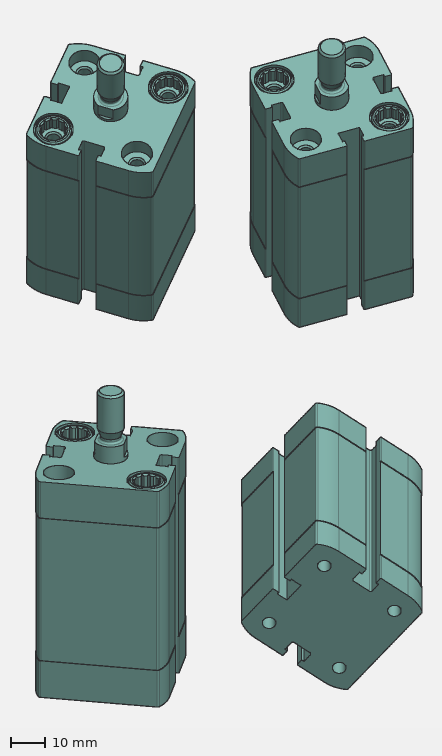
import cadquery as cq
import math

SIDE = 39.5
HALF = SIDE / 2
HOUSING_HEIGHT = 70.8
CAP_HEIGHT = 12.0
PROFILE_INSET = 0.2
CORNER_RADIUS = 25.4 / 2
CORNER_CENTRE_X = 12.8
EDGE_FILLET = 0.7

SLOT_MOUTH_WIDTH = 5.3
SLOT_LIP = 2.2
SLOT_DEPTH = 5.7
Y_SLOT_WIDTH = 7.0
X_SLOT_WIDTH = 6.6
SLOT_FILLET = 0.55
MOUTH_FILLET = 0.3

HOLE_OFFSET = 13.0
BORE_DIAMETER = 4.0
BORE_MOUTH_DIAMETER = 5.0
COUNTERBORE_DIAMETER = 9.0
COUNTERBORE_DEPTH = 5.0

RECESS_DIAMETER = 11.5
RECESS_DEPTH = 0.9
HEAD_DIAMETER = 10.5
HEAD_CHAMFER = 0.5
HEAD_SETBACK = 0.1
SOCKET_DEPTH = 4.5
SPLINE_DIAMETER = 7.5
GROOVE_DIAMETER = 8.3
SOCKET_MOUTH_DIAMETER = 8.5

ROD_LENGTH = 92.25 - HOUSING_HEIGHT
COLLAR_DIAMETER = 10.0
COLLAR_HEIGHT = 5.5
COLLAR_FLATS = 8.8
FLAT_BOTTOM = 1.3
FLAT_FOOT = 0.9
NECK_DIAMETER = 6.1
NECK_FILLET = 0.6
NECK_TOP = 6.9
THREAD_DIAMETER = 7.9
THREAD_BOTTOM = 9.4
THREAD_CHAMFER = 0.6


def cylinder(diameter, bottom, top):
    return cq.Workplane("XY").workplane(offset=bottom).circle(diameter / 2).extrude(top - bottom)


def cone(bottom_diameter, top_diameter, top):
    """45-degree cone that ends at the given height."""
    bottom = top - abs(top_diameter - bottom_diameter) / 2
    outline = [
        (0, bottom),
        (bottom_diameter / 2, bottom),
        (top_diameter / 2, top),
        (0, top),
    ]
    return cq.Workplane("XZ").polyline(outline).close().revolve(360, (0, 0), (0, 1))


def rounded_square(inset, bottom, height):
    """Block whose -Y and +Y sides run into large corner arcs."""
    half = HALF - inset
    radius = CORNER_RADIUS - inset
    centre_y = half - radius

    def arc_y(x):
        return centre_y + math.sqrt(radius**2 - (x - CORNER_CENTRE_X) ** 2)

    start_x = CORNER_CENTRE_X
    middle_x = (start_x + half) / 2
    return (
        cq.Workplane("XY")
        .workplane(offset=bottom)
        .moveTo(-start_x, half)
        .lineTo(start_x, half)
        .threePointArc((middle_x, arc_y(middle_x)), (half, arc_y(half)))
        .lineTo(half, -arc_y(half))
        .threePointArc((middle_x, -arc_y(middle_x)), (start_x, -half))
        .lineTo(-start_x, -half)
        .threePointArc((-middle_x, -arc_y(middle_x)), (-half, -arc_y(half)))
        .lineTo(-half, arc_y(half))
        .threePointArc((-middle_x, arc_y(middle_x)), (-start_x, half))
        .close()
        .extrude(height)
        .edges("|Z and (<X or >X)")
        .fillet(EDGE_FILLET)
    )


def t_slot(inner_width, fillet):
    """T-slot cutter for the -Y side."""
    inner_depth = SLOT_DEPTH - SLOT_LIP
    mouth = (
        cq.Workplane("XY")
        .box(SLOT_MOUTH_WIDTH, SLOT_DEPTH, HOUSING_HEIGHT, centered=(True, False, False))
    )
    inner = (
        cq.Workplane("XY")
        .box(inner_width, inner_depth, HOUSING_HEIGHT, centered=(True, False, False))
        .translate((0, SLOT_LIP, 0))
    )
    if fillet:
        inner = inner.edges("|Z and >Y").fillet(fillet)
    return mouth.union(inner).translate((0, -HALF, 0))


def mouth_rounding(bottom):
    """Cutter that rounds both mouth edges of the slot in the -Y side of one end cap."""
    half_mouth = SLOT_MOUTH_WIDTH / 2
    half_width = half_mouth + MOUTH_FILLET
    diagonal = MOUTH_FILLET * (1 - math.sqrt(0.5))
    return (
        cq.Workplane("XY")
        .workplane(offset=bottom)
        .moveTo(-half_width, -HALF)
        .lineTo(half_width, -HALF)
        .threePointArc((half_mouth + diagonal, -HALF + diagonal), (half_mouth, -HALF + MOUTH_FILLET))
        .lineTo(-half_mouth, -HALF + MOUTH_FILLET)
        .threePointArc((-half_mouth - diagonal, -HALF + diagonal), (-half_width, -HALF))
        .close()
        .extrude(CAP_HEIGHT)
    )


def bore(mouth_height):
    """Through bore with a countersink that opens at the given height."""
    return cylinder(BORE_DIAMETER, 0, mouth_height).union(
        cone(BORE_DIAMETER, BORE_MOUTH_DIAMETER, mouth_height)
    )


def counterbored_hole():
    floor = HOUSING_HEIGHT - COUNTERBORE_DEPTH
    return bore(floor).union(cylinder(COUNTERBORE_DIAMETER, floor, HOUSING_HEIGHT))


def socket_hole():
    """Cutter that leaves a round head with a twelve-toothed socket inside a recess."""
    floor = HOUSING_HEIGHT - SOCKET_DEPTH
    head_top = HOUSING_HEIGHT - HEAD_SETBACK
    recess_floor = HOUSING_HEIGHT - RECESS_DEPTH

    head = cylinder(HEAD_DIAMETER, recess_floor, head_top).faces(">Z").edges().chamfer(HEAD_CHAMFER)
    recess = cylinder(RECESS_DIAMETER, recess_floor, HOUSING_HEIGHT).cut(head)

    socket = cylinder(SPLINE_DIAMETER, floor, head_top)
    for turn in (0, 30, 60):
        square = (
            cq.Workplane("XY")
            .workplane(offset=floor)
            .polygon(4, GROOVE_DIAMETER)
            .extrude(head_top - floor)
            .rotate((0, 0, 0), (0, 0, 1), turn)
        )
        socket = socket.union(square)
    mouth = cone(SPLINE_DIAMETER, SOCKET_MOUTH_DIAMETER, head_top)
    return bore(floor).union(socket).union(mouth).union(recess)


def make_housing():
    upper_cap_bottom = HOUSING_HEIGHT - CAP_HEIGHT
    housing = (
        rounded_square(PROFILE_INSET, CAP_HEIGHT, upper_cap_bottom - CAP_HEIGHT)
        .union(rounded_square(0, 0, CAP_HEIGHT))
        .union(rounded_square(0, upper_cap_bottom, CAP_HEIGHT))
    )

    mouth_roundings = mouth_rounding(0).union(mouth_rounding(upper_cap_bottom))
    y_slot = t_slot(Y_SLOT_WIDTH, SLOT_FILLET).union(mouth_roundings)
    x_slot = t_slot(X_SLOT_WIDTH, 0).union(mouth_roundings).rotate((0, 0, 0), (0, 0, 1), -90)
    housing = housing.cut(y_slot).cut(y_slot.mirror("XZ")).cut(x_slot)

    for side in (-1, 1):
        x = side * HOLE_OFFSET
        housing = housing.cut(socket_hole().translate((x, x, 0)))
        housing = housing.cut(counterbored_hole().translate((x, -x, 0)))
    return housing


def collar_flat():
    """Cutter for the flat on the +Y side of the collar, with a slope at its foot."""
    inside = COLLAR_FLATS / 2
    outside = COLLAR_DIAMETER / 2
    outline = [
        (inside, COLLAR_HEIGHT),
        (inside, FLAT_BOTTOM),
        (outside, FLAT_FOOT),
        (outside, COLLAR_HEIGHT),
    ]
    return cq.Workplane("YZ").polyline(outline).close().extrude(COLLAR_DIAMETER / 2, both=True)


def make_rod():
    """Piston rod that stands on the housing's top face."""
    collar = COLLAR_DIAMETER / 2
    neck = NECK_DIAMETER / 2
    thread = THREAD_DIAMETER / 2
    fillet_diagonal = NECK_FILLET * (1 - math.sqrt(0.5))
    rod = (
        cq.Workplane("XZ")
        .lineTo(collar, 0)
        .lineTo(collar, COLLAR_HEIGHT)
        .lineTo(neck + NECK_FILLET, COLLAR_HEIGHT)
        .threePointArc(
            (neck + fillet_diagonal, COLLAR_HEIGHT + fillet_diagonal),
            (neck, COLLAR_HEIGHT + NECK_FILLET),
        )
        .lineTo(neck, NECK_TOP)
        .lineTo(thread, THREAD_BOTTOM)
        .lineTo(thread, ROD_LENGTH - THREAD_CHAMFER)
        .lineTo(thread - THREAD_CHAMFER, ROD_LENGTH)
        .lineTo(0, ROD_LENGTH)
        .close()
        .revolve(360, (0, 0), (0, 1))
    )
    flat = collar_flat()
    rod = rod.cut(flat).cut(flat.mirror("XZ"))
    return rod.translate((0, 0, HOUSING_HEIGHT))


housing = make_housing()
rod = make_rod()

result = cq.Compound.makeCompound([housing.val(), rod.val()])